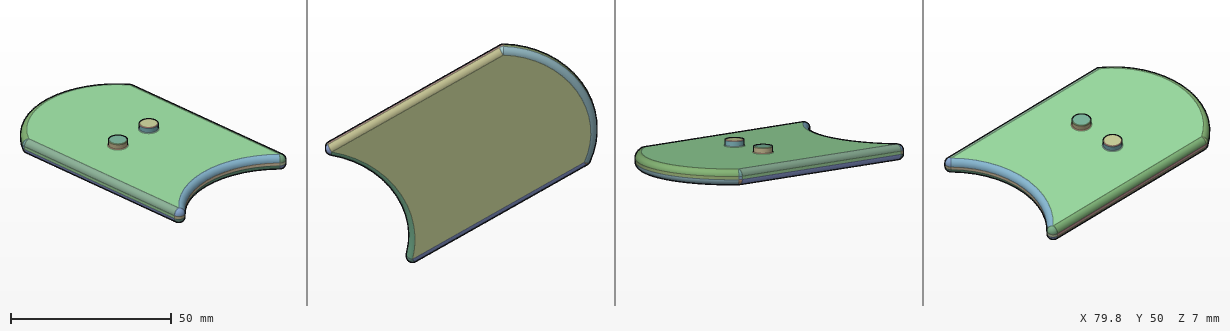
import cadquery as cq
import math

LENGTH = 79.75
WIDTH = 50.0
THICKNESS = 5.0
EDGE_RADIUS = 2.0
END_RADIUS = 30.0

PIN_DIAMETER = 6.0
PIN_HEIGHT = 2.0
PIN_FILLET = 0.2
PIN_X = 37.0
PIN_SPACING = 14.0

face_half_width = WIDTH / 2 - EDGE_RADIUS
face_left = EDGE_RADIUS
face_right = LENGTH - EDGE_RADIUS


def arc_rise(radius, half_chord):
    return radius - math.sqrt(radius**2 - half_chord**2)


def flat_face_outline():
    left_corner = face_left + arc_rise(END_RADIUS - EDGE_RADIUS, face_half_width)
    right_middle = face_right - arc_rise(END_RADIUS + EDGE_RADIUS, face_half_width)
    return (
        cq.Workplane("XY")
        .moveTo(left_corner, -face_half_width)
        .lineTo(face_right, -face_half_width)
        .threePointArc((right_middle, 0), (face_right, face_half_width))
        .lineTo(left_corner, face_half_width)
        .threePointArc((face_left, 0), (left_corner, -face_half_width))
        .close()
    )


def rounded_plate():
    outline = flat_face_outline().offset2D(EDGE_RADIUS, "arc")
    return outline.extrude(THICKNESS).faces("|Z").edges().fillet(EDGE_RADIUS)


def pin():
    radius = PIN_DIAMETER / 2
    sink = PIN_FILLET
    shoulder = PIN_HEIGHT - PIN_FILLET
    return (
        cq.Workplane("XZ")
        .moveTo(0, -sink)
        .lineTo(radius + PIN_FILLET, -sink)
        .lineTo(radius + PIN_FILLET, 0)
        .radiusArc((radius, PIN_FILLET), PIN_FILLET)
        .lineTo(radius, shoulder)
        .radiusArc((radius - PIN_FILLET, PIN_HEIGHT), -PIN_FILLET)
        .lineTo(0, PIN_HEIGHT)
        .close()
        .revolve(360, (0, 0), (0, 1))
    )


result = rounded_plate()
for pin_y in (-PIN_SPACING / 2, PIN_SPACING / 2):
    result = result.union(pin().translate((PIN_X, pin_y, THICKNESS)))